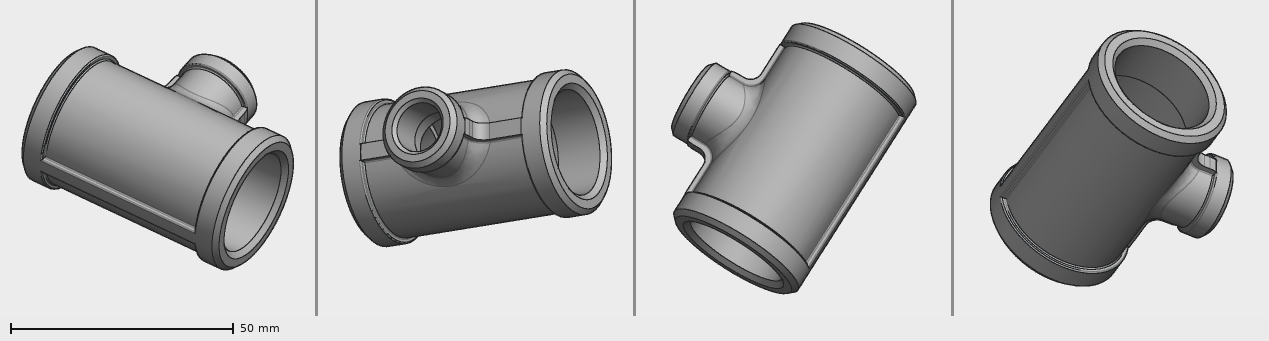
import cadquery as cq
import math

run_length = 53.0
overall_depth = 44.0
run_collar_radius = 33.0 / 2

run_body_radius = 15.25
run_collar_length = 6.0
branch_collar_radius = 19.0 / 2
branch_body_radius = 8.5
branch_collar_length = 5.0
collar_chamfer = 1.15
saddle_fillet = 3.7

rib_width = 3.9
rib_branch_offset = 9.7
rib_taper_length = 1.7
rib_corner_radius = 2.8
edge_radius = 0.3

run_bore_radius = 24.1 / 2
run_cavity_radius = 27.1 / 2
run_bore_depth = 11.85
run_mouth_chamfer = 1.2
branch_bore_radius = 11.45 / 2
branch_cavity_radius = 13.6 / 2
branch_bore_depth = 9.3
branch_mouth_chamfer = 0.85

half_length = run_length / 2
branch_end_y = overall_depth - run_collar_radius
collar_inner_x = half_length - run_collar_length
collar_inner_y = branch_end_y - branch_collar_length
match_tolerance = 0.005


def run_cylinder(radius, length, start_x):
    """Cylinder along +X from start_x."""
    return cq.Workplane("YZ").workplane(offset=start_x).circle(radius).extrude(length)


def branch_cylinder(radius, end_y, start_y=0.0):
    """Cylinder along +Y between start_y and end_y."""
    return cq.Workplane("XZ").workplane(offset=-end_y).circle(radius).extrude(end_y - start_y)


def blended_body():
    """Plain run and branch bodies joined by the saddle fillet."""
    run = run_cylinder(run_body_radius, 2 * collar_inner_x, -collar_inner_x)
    body = run.union(branch_cylinder(branch_body_radius, collar_inner_y))
    return body.edges("%BSPLINE").fillet(saddle_fillet)


def run_collar(side):
    """Chamfered collar at one end of the run; side is -1 or +1."""
    start_x = collar_inner_x if side > 0 else -half_length
    collar = run_cylinder(run_collar_radius, run_collar_length, start_x)
    return collar.faces(">X" if side > 0 else "<X").chamfer(collar_chamfer)


def branch_collar():
    """Chamfered collar, its inner rim rounded except where the rib runs into it."""
    collar = branch_cylinder(branch_collar_radius, branch_end_y, collar_inner_y)
    collar = collar.faces(">Y").chamfer(collar_chamfer)
    collar = collar.faces("<Y").edges().fillet(edge_radius)
    rib_slab = cq.Workplane("XY").box(run_length, run_length, rib_width)
    unrounded = branch_cylinder(branch_collar_radius, collar_inner_y + edge_radius, collar_inner_y)
    return collar.union(unrounded.intersect(rib_slab))


def back_rib():
    """Rib along the side of the run opposite the branch, flush with the collars."""
    slab = cq.Workplane("XY").box(2 * collar_inner_x, run_collar_radius, rib_width)
    slab = slab.translate((0, -run_collar_radius / 2, 0))
    return slab.intersect(run_cylinder(run_collar_radius, run_length, -half_length))


def branch_rib():
    """Flat rib that follows the run and sweeps up both sides of the branch."""
    taper_start_y = collar_inner_y - rib_taper_length
    corner_y = run_collar_radius + rib_corner_radius
    corner_x = rib_branch_offset + rib_corner_radius
    half_rib = (
        cq.Workplane("XY")
        .moveTo(0, 0)
        .lineTo(collar_inner_x, 0)
        .lineTo(collar_inner_x, run_collar_radius)
        .lineTo(corner_x, run_collar_radius)
        .tangentArcPoint((rib_branch_offset, corner_y), relative=False)
        .lineTo(rib_branch_offset, taper_start_y)
        .tangentArcPoint((branch_collar_radius, collar_inner_y), relative=False)
        .lineTo(0, collar_inner_y)
        .close()
        .extrude(rib_width / 2, both=True)
    )
    return half_rib.union(half_rib.mirror("YZ"))


def close_to(value, target):
    """True when two lengths agree within the matching tolerance."""
    return abs(value - target) < match_tolerance


def on_recess_floor(edge):
    """True for an edge where the recessed body surface meets a rib or collar wall."""
    middle = edge.positionAt(0.5)
    on_rib_wall = close_to(abs(middle.z), rib_width / 2)
    on_run_wall = close_to(abs(middle.x), collar_inner_x)
    on_branch_wall = close_to(middle.y, collar_inner_y)
    on_run_body = close_to(math.hypot(middle.y, middle.z), run_body_radius)
    on_branch_body = close_to(math.hypot(middle.x, middle.z), branch_body_radius)
    on_saddle = edge.geomType() == "BSPLINE" and middle.y < collar_inner_y
    if on_rib_wall:
        return on_run_body or on_branch_body or on_saddle
    return (on_run_wall and on_run_body) or (on_branch_wall and on_branch_body)


def on_run_rim(edge):
    """True for the outer edge of a run collar wall or of the back rib."""
    middle = edge.positionAt(0.5)
    on_outside = close_to(math.hypot(middle.y, middle.z), run_collar_radius)
    on_collar_wall = close_to(abs(middle.x), collar_inner_x) and abs(middle.z) > rib_width / 2
    on_back_rib_wall = close_to(abs(middle.z), rib_width / 2) and middle.y < 0
    return on_outside and (on_collar_wall or on_back_rib_wall)


def outer_shape():
    """Solid tee with collars, ribs and softened recess edges."""
    shape = blended_body().union(back_rib()).union(branch_rib()).union(branch_collar())
    for side in (-1, 1):
        shape = shape.union(run_collar(side))
    shape = shape.edges().filter(on_recess_floor).fillet(edge_radius)
    return shape.edges().filter(on_run_rim).fillet(edge_radius)


def stepped_bore(bore_radius, cavity_radius, depth, mouth_chamfer, total):
    """Tool along +X from a mouth at x = 0: countersunk bore, then a wider cavity up to total."""
    return (
        cq.Workplane("XY")
        .polyline([
            (0, 0),
            (0, bore_radius + mouth_chamfer),
            (mouth_chamfer, bore_radius),
            (depth, bore_radius),
            (depth, cavity_radius),
            (total, cavity_radius),
            (total, 0),
        ])
        .close()
        .revolve(360, (0, 0, 0), (1, 0, 0))
    )


def run_bore():
    """Bore from the -X mouth to the middle of the run."""
    tool = stepped_bore(
        run_bore_radius, run_cavity_radius, run_bore_depth, run_mouth_chamfer, half_length
    )
    return tool.translate((-half_length, 0, 0))


def branch_bore():
    """Bore from the branch mouth down to the run axis."""
    tool = stepped_bore(
        branch_bore_radius, branch_cavity_radius, branch_bore_depth, branch_mouth_chamfer, branch_end_y
    )
    return tool.rotate((0, 0, 0), (0, 0, 1), -90).translate((0, branch_end_y, 0))


result = outer_shape().cut(run_bore()).cut(run_bore().mirror("YZ")).cut(branch_bore())